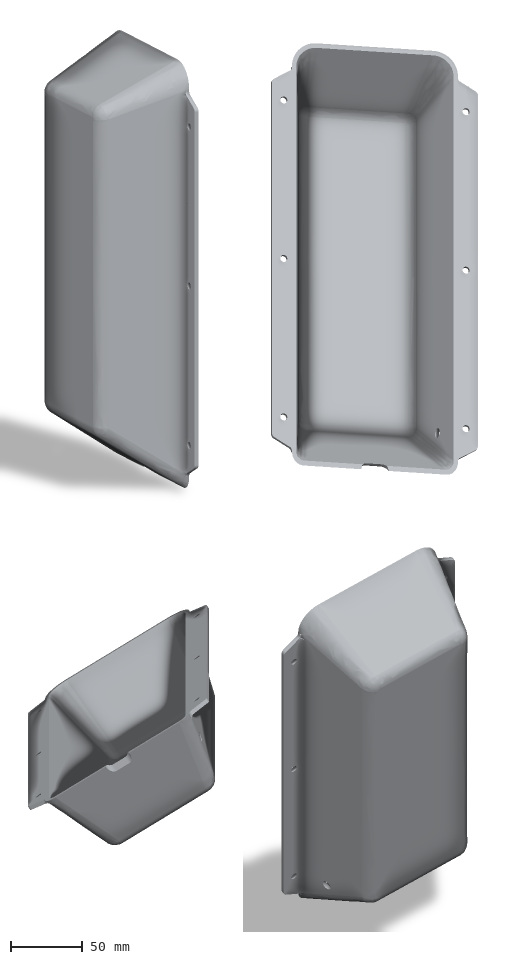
import cadquery as cq
import math

flange_width = 146.79
depth = 63.0
height = 306.96
top_z = 157.6
bottom_z = top_z - height
wall = 3.0

back_half_width = 59.2
side_draft = 14.5
top_slope = 25.0
bottom_slope = 34.5
top_back_radius = 17.5
top_front_radius = 8.5
edge_radius = 9.5

flange_edge_half_height = 129.2
flange_end_angle = 30.0
flange_corner_radius = 3.0
flange_root_radius = 3.0
flange_root_length = 2.0
bend_radius = 4.0
mount_hole_diameter = 5.0
mount_hole_x = 65.0
mount_hole_pitch = 115.0

side_hole_diameter = 7.0
side_hole_y = -24.9
side_hole_z = -112.3
notch_width = 19.0
notch_height = 5.2
notch_corner_radius = 4.5


def tan_deg(angle):
    return math.tan(math.radians(angle))


def cos_deg(angle):
    return math.cos(math.radians(angle))


def flange_end_z(x):
    """Height of the sloping flange end at distance x from the middle plane."""
    return flange_edge_half_height + (flange_width / 2 - x) * tan_deg(flange_end_angle)


def body_section(y, inset, top_radius):
    """Outline across the body at the given Y, moved inward by inset, with only its top corners round."""
    half_width = back_half_width + y * tan_deg(side_draft) - inset / cos_deg(side_draft)
    top = top_z + y * tan_deg(top_slope) - inset / cos_deg(top_slope)
    bottom = bottom_z - y * tan_deg(bottom_slope) + inset / cos_deg(bottom_slope)
    arc_start_x = half_width - top_radius
    arc_start_z = top - top_radius
    arc_middle_x = arc_start_x + top_radius * math.sqrt(0.5)
    arc_middle_z = arc_start_z + top_radius * math.sqrt(0.5)
    outline = (
        cq.Workplane("XZ", origin=(0, y, 0))
        .moveTo(-arc_start_x, top)
        .lineTo(arc_start_x, top)
        .threePointArc((arc_middle_x, arc_middle_z), (half_width, arc_start_z))
        .lineTo(half_width, bottom)
        .lineTo(-half_width, bottom)
        .lineTo(-half_width, arc_start_z)
        .threePointArc((-arc_middle_x, arc_middle_z), (-arc_start_x, top))
        .close()
    )
    return outline.val()


def tapered_body(inset):
    """Solid tapering from back to front, with its front and lower side edges rounded."""
    back = body_section(0, inset, top_back_radius - inset)
    front = body_section(inset - depth, inset, top_front_radius - inset)
    body = cq.Workplane(cq.Solid.makeLoft([back, front], True))
    mid_y = (inset - depth) / 2
    mid_x = back_half_width + mid_y * tan_deg(side_draft)
    mid_z = bottom_z - mid_y * tan_deg(bottom_slope)
    left_edge = body.edges(cq.selectors.NearestToPointSelector((-mid_x, mid_y, mid_z)))
    right_edge = body.edges(cq.selectors.NearestToPointSelector((mid_x, mid_y, mid_z)))
    rounded_edges = body.faces("<Y").edges().add(left_edge).add(right_edge)
    return rounded_edges.fillet(edge_radius - inset)


def flange_plate():
    """Plate across the back whose ends slope up to the body and blend into its sides."""
    half_width = flange_width / 2
    root_x = back_half_width
    root_z = flange_end_z(root_x)
    end_z = root_z + flange_root_length
    right_end = [(half_width, flange_edge_half_height), (root_x, root_z), (root_x, end_z)]
    upper = right_end + [(-x, z) for x, z in reversed(right_end)]
    lower = [(-x, -z) for x, z in upper]
    plate = cq.Workplane("XZ").polyline(upper + lower).close().extrude(wall)
    plate = plate.edges("|Y and (<X or >X)").fillet(flange_corner_radius)
    for side in (-1, 1):
        for end in (-1, 1):
            root = cq.selectors.NearestToPointSelector((side * root_x, -wall / 2, end * root_z))
            plate = plate.edges("|Y").edges(root).fillet(flange_root_radius)
    return plate


def bend_strip(side):
    """Concave blend between the front of one flange and the drafted body side."""
    corner_x = back_half_width - wall * tan_deg(side_draft)
    draft = math.radians(side_draft)
    tangent = bend_radius * math.tan((math.pi / 2 - draft) / 2)
    center_x = corner_x + tangent
    center_y = -wall - bend_radius
    flange_point = (center_x, -wall)
    side_point = (corner_x - tangent * math.sin(draft), -wall - tangent * math.cos(draft))
    middle_angle = (math.pi / 2 + math.pi - draft) / 2
    middle_point = (
        center_x + bend_radius * math.cos(middle_angle),
        center_y + bend_radius * math.sin(middle_angle),
    )
    buried_x = side_point[0] - wall / 2
    strip = (
        cq.Workplane("XY")
        .moveTo(*flange_point)
        .threePointArc(middle_point, side_point)
        .lineTo(buried_x, side_point[1])
        .lineTo(buried_x, -wall / 2)
        .lineTo(center_x, -wall / 2)
        .close()
        .extrude(flange_end_z(center_x), both=True)
    )
    if side < 0:
        strip = strip.mirror("YZ")
    return strip


def mount_holes():
    points = [(side * mount_hole_x, row * mount_hole_pitch) for side in (-1, 1) for row in (-1, 0, 1)]
    return cq.Workplane("XZ").pushPoints(points).circle(mount_hole_diameter / 2).extrude(wall)


def side_hole():
    """Hole square through the drafted -X side wall only."""
    wall_x = -(back_half_width + side_hole_y * tan_deg(side_draft))
    draft = math.radians(side_draft)
    wall_plane = cq.Plane(
        origin=(wall_x, side_hole_y, side_hole_z),
        xDir=(0, 0, 1),
        normal=(-math.cos(draft), -math.sin(draft), 0),
    )
    return cq.Workplane(wall_plane).circle(side_hole_diameter / 2).extrude(2 * wall, both=True)


def bottom_notch():
    """Round-cornered notch in the middle of the bottom wall's back edge."""
    return (
        cq.Workplane("XY")
        .box(notch_width, depth, 2 * notch_height)
        .edges("|Y and >Z")
        .fillet(notch_corner_radius)
        .translate((0, 0, bottom_z))
    )


cover = tapered_body(0).union(flange_plate())
for side in (-1, 1):
    cover = cover.union(bend_strip(side))
cover = cover.cut(tapered_body(wall))
result = cover.cut(mount_holes()).cut(side_hole()).cut(bottom_notch())